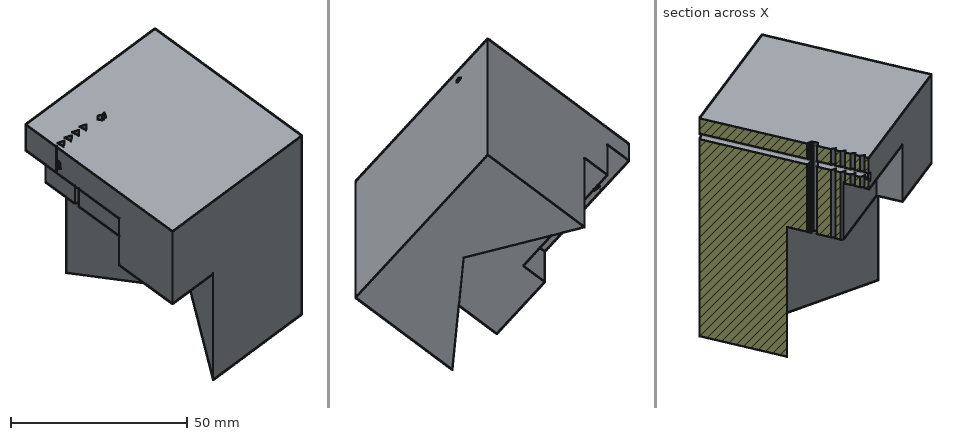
import cadquery as cq
import math

width = 58.8
depth = 52.2
height = 74.8

head_height = 30.35
overhang = 16.4

pocket_width = 37.4
pocket_depth = 8.0
brow_height = 10.85

notch_depth = 20.3

triangle_radius = 1.3
triangle_tilt = 9.0
triangle_count = 5
triangle_pitch = 3.0
triangle_x = 12.5
rearmost_triangle_y = 11.0

drop_radius = 1.0
drop_x = 13.3
drop_y = 16.9
drop_outline = [(-0.3, 0.45), (0.5, 0.45), (0.9, 1.2), (-0.6, 2.1)]

bore_radius = 0.9
bore_x = 13.0
bore_z = 68.5
tail_depth = 0.75
tail_outline = [(0, 0), (-0.6, -0.6), (0.4, -2.1), (0.9, -1.9), (bore_radius, 0)]

head_bottom = height - head_height


def make_lower_body():
    """Column under the head, with a V-shaped front face."""
    outline = [
        (0, overhang),
        (width / 2, overhang + notch_depth),
        (width, overhang),
        (width, depth),
        (0, depth),
    ]
    return cq.Workplane("XY").polyline(outline).close().extrude(head_bottom)


def make_head():
    """Full-depth head with the corner pocket removed."""
    head = cq.Workplane("XY", origin=(0, 0, head_bottom)).box(width, depth, head_height, centered=False)
    pocket = cq.Workplane("XY", origin=(0, 0, head_bottom)).box(
        pocket_width, pocket_depth, head_height - brow_height, centered=False
    )
    return head.cut(pocket)


def make_triangle_channel(center_y):
    """Equilateral prism through the head, one corner toward the back."""
    corners = []
    for corner in range(3):
        angle = math.radians(90 + triangle_tilt + 120 * corner)
        corners.append((triangle_radius * math.cos(angle), triangle_radius * math.sin(angle)))
    plane = cq.Workplane("XY", origin=(triangle_x, center_y, head_bottom))
    return plane.polyline(corners).close().extrude(head_height)


def make_drop_channel():
    """Round channel with a pointed tip, through the head."""
    plane = cq.Workplane("XY", origin=(drop_x, drop_y, head_bottom))
    tip = plane.polyline(drop_outline).close().extrude(head_height)
    return plane.circle(drop_radius).extrude(head_height).union(tip)


def make_bore():
    """Round through hole along Y plus the blind tail at the front face."""
    plane = cq.Workplane("XZ", origin=(bore_x, 0, bore_z))
    tail = plane.polyline(tail_outline).close().extrude(-tail_depth)
    return plane.circle(bore_radius).extrude(-depth).union(tail)


result = make_head().union(make_lower_body())
for index in range(triangle_count):
    result = result.cut(make_triangle_channel(rearmost_triangle_y - index * triangle_pitch))
result = result.cut(make_drop_channel())
result = result.cut(make_bore())